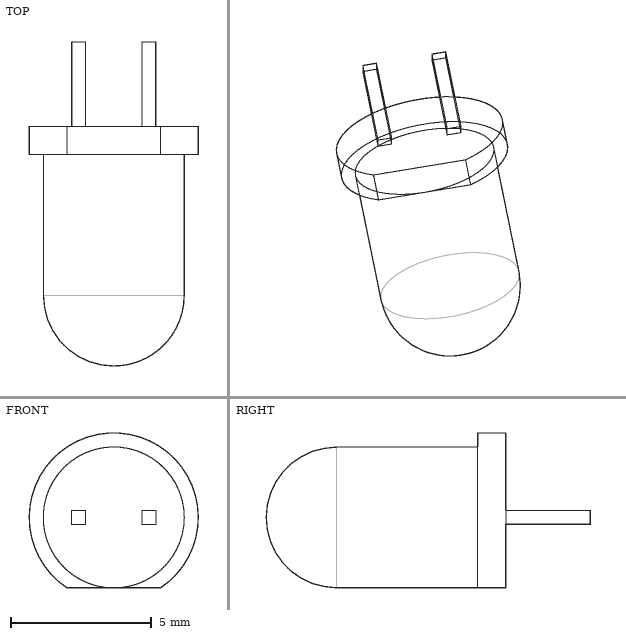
import cadquery as cq

total_length = 11.5
body_diameter = 5.0
flange_diameter = 6.0
flange_thickness = 1.0
lead_length = 3.0
lead_width = 0.5
lead_spacing = 2.5

body_radius = body_diameter / 2
flange_radius = flange_diameter / 2
barrel_length = total_length - lead_length - flange_thickness - body_radius
dome_tip_y = -(barrel_length + body_radius)
dome_mid = body_radius * 0.5 ** 0.5


def make_lens():
    """Barrel with a hemispherical dome, revolved about Y from the flange front at Y = 0."""
    return (
        cq.Workplane("XY")
        .lineTo(body_radius, 0)
        .lineTo(body_radius, -barrel_length)
        .threePointArc((dome_mid, -barrel_length - dome_mid), (0, dome_tip_y))
        .close()
        .revolve(360, (0, 0, 0), (0, 1, 0))
    )


def make_flange():
    """Round flange with a bottom flat that is tangent to the barrel."""
    disc = cq.Workplane("XZ").circle(flange_radius).extrude(-flange_thickness)
    keep = (
        cq.Workplane("XY")
        .box(flange_diameter, flange_thickness, body_radius + flange_radius, centered=(True, False, False))
        .translate((0, 0, -body_radius))
    )
    return disc.intersect(keep)


def make_leads():
    """Two square leads on the back of the flange."""
    return (
        cq.Workplane("XZ", origin=(0, flange_thickness, 0))
        .pushPoints([(-lead_spacing / 2, 0), (lead_spacing / 2, 0)])
        .rect(lead_width, lead_width)
        .extrude(-lead_length)
    )


result = make_lens().union(make_flange()).union(make_leads())